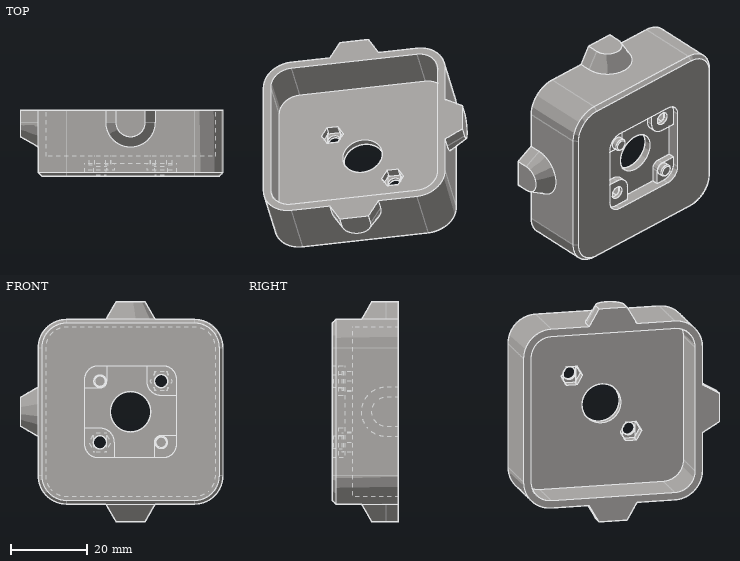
import cadquery as cq
import math

body_size = 48.4
body_depth = 17.3
corner_radius = 7.5
front_chamfer = 1.0
wall = 2.0

pocket_size = 24.0
pocket_radius = 3.5
pocket_depth = 3.3
center_hole_diameter = 10.5

axis_offset = 8.0
pad_height = 1.65
screw_pad_margin = 3.75
pin_pad_margin = 1.8
pin_diameter = 3.3
pin_chamfer = 0.3

screw_hole_diameter = 3.4
nut_sides = 6
nut_across_flats = 5.0
screw_bore_depth = 1.0
slot_depth = 0.35

lug_length = 4.6
lug_tip_radius = 3.8
lug_taper_angle = 30.0
lug_center_from_back = 3.15

front_y = -body_depth / 2
back_y = body_depth / 2
pocket_floor_y = front_y + pocket_depth
cavity_floor_y = pocket_floor_y + wall
pad_face_y = pocket_floor_y - pad_height
cavity_size = body_size - 2 * wall


def xz_plane(y):
    """XZ plane at the given Y, its normal toward -Y; negative extrusions run toward +Y."""
    return cq.Workplane("XZ", origin=(0, y, 0))


def block(size, radius, start_y, end_y):
    """Square block on the Y axis with rounded edges along Y."""
    return (
        xz_plane(start_y)
        .rect(size, size)
        .extrude(start_y - end_y)
        .edges("|Y")
        .fillet(radius)
    )


def cylinder(x, z, diameter, start_y, end_y):
    """Round bar along Y."""
    return xz_plane(start_y).center(x, z).circle(diameter / 2).extrude(start_y - end_y)


def pad(side_x, side_z, margin):
    """Pad filling one pocket corner, its inner corner rounded about the screw or pin axis."""
    pocket_half = pocket_size / 2
    inner = axis_offset - margin
    size = pocket_half - inner
    middle = inner + size / 2
    inner_edge = cq.selectors.NearestToPointSelector(
        (side_x * inner, (pad_face_y + pocket_floor_y) / 2, side_z * inner)
    )
    pad_block = (
        xz_plane(pad_face_y)
        .center(side_x * middle, side_z * middle)
        .rect(size, size)
        .extrude(-pad_height)
        .edges(inner_edge)
        .fillet(margin)
    )
    return pad_block.intersect(block(pocket_size, pocket_radius, pad_face_y, pocket_floor_y))


def pin(side_x, side_z):
    """Locating pin with a chamfered tip, level with the front face."""
    x = side_x * axis_offset
    z = side_z * axis_offset
    return cylinder(x, z, pin_diameter, front_y, pad_face_y).faces("<Y").chamfer(pin_chamfer)


def screw_hole(x, z):
    """Through hole whose back end is a nut recess with flats at its top and bottom."""
    slot_y = pad_face_y + screw_bore_depth
    nut_y = slot_y + slot_depth
    bore = cylinder(x, z, screw_hole_diameter, pad_face_y, cavity_floor_y)
    slot = (
        xz_plane(slot_y)
        .center(x, z)
        .rect(screw_hole_diameter, nut_across_flats)
        .extrude(-slot_depth)
    )
    nut_recess = (
        xz_plane(nut_y)
        .center(x, z)
        .polygon(nut_sides, nut_across_flats / math.cos(math.pi / nut_sides))
        .extrude(nut_y - cavity_floor_y)
    )
    return bore.union(slot).union(nut_recess)


def lug():
    """Tapered lug on the +Z side, rounded toward the front and flat at the back."""
    root_radius = lug_tip_radius + lug_length * math.tan(math.radians(lug_taper_angle))
    center_y = back_y - lug_center_from_back
    root_z = body_size / 2
    tip_z = root_z + lug_length
    cone = cq.Workplane(
        cq.Solid.makeCone(
            root_radius,
            lug_tip_radius,
            lug_length,
            cq.Vector(0, center_y, root_z),
            cq.Vector(0, 0, 1),
        )
    )
    rear_block = (
        xz_plane(back_y)
        .moveTo(-root_radius, root_z)
        .lineTo(-lug_tip_radius, tip_z)
        .lineTo(lug_tip_radius, tip_z)
        .lineTo(root_radius, root_z)
        .close()
        .extrude(lug_center_from_back)
    )
    front_half = (
        xz_plane(center_y)
        .rect(2 * root_radius, 2 * tip_z)
        .extrude(root_radius)
    )
    return cone.intersect(front_half).union(rear_block)


result = block(body_size, corner_radius, front_y, back_y).faces("<Y").chamfer(front_chamfer)
result = result.cut(block(cavity_size, corner_radius - wall, cavity_floor_y, back_y))

for angle in (0, -90, 180):
    result = result.union(lug().rotate((0, 0, 0), (0, 1, 0), angle))

result = result.cut(block(pocket_size, pocket_radius, front_y, pocket_floor_y))
result = result.cut(cylinder(0, 0, center_hole_diameter, pocket_floor_y, cavity_floor_y))

for side in (1, -1):
    result = result.union(pad(side, side, screw_pad_margin))
    result = result.cut(screw_hole(side * axis_offset, side * axis_offset))
    result = result.union(pad(side, -side, pin_pad_margin))
    result = result.union(pin(side, -side))